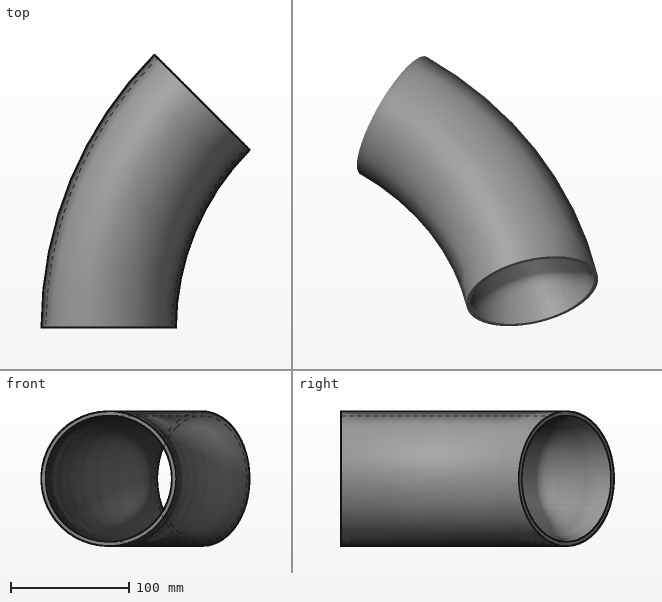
import cadquery as cq
import math

overall_length = 231.3
outer_diameter = 114.3
wall_thickness = 3.7
bend_angle = 45.0

outer_radius = outer_diameter / 2
bore_radius = outer_radius - wall_thickness

bend_radius = overall_length / math.sin(math.radians(bend_angle)) - outer_radius

elbow = (
    cq.Workplane("XZ")
    .circle(outer_radius)
    .circle(bore_radius)
    .revolve(bend_angle, (bend_radius, 2.3, 0), (bend_radius, 0, 0))
)

result = elbow